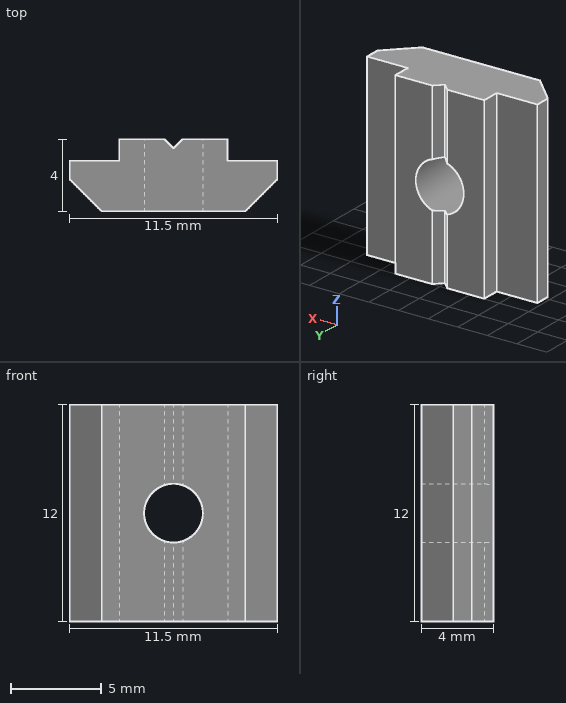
import cadquery as cq

width = 11.5
depth = 4.0
length = 12.0

chamfer = 1.78
rib_width = 6.0
rib_height = 1.2
notch_depth = 0.5
hole_diameter = 3.24

half_width = width / 2
half_rib = rib_width / 2
front = -depth / 2
back = depth / 2
shoulder = back - rib_height


def nut_profile():
    """Cross-section in XY, listed counter-clockwise from the front left."""
    return [
        (-half_width + chamfer, front),
        (half_width - chamfer, front),
        (half_width, front + chamfer),
        (half_width, shoulder),
        (half_rib, shoulder),
        (half_rib, back),
        (notch_depth, back),
        (0, back - notch_depth),
        (-notch_depth, back),
        (-half_rib, back),
        (-half_rib, shoulder),
        (-half_width, shoulder),
        (-half_width, front + chamfer),
    ]


body = cq.Workplane("XY", origin=(0, 0, -length / 2)).polyline(nut_profile()).close().extrude(length)

hole = cq.Workplane("XZ", origin=(0, back, 0)).circle(hole_diameter / 2).extrude(depth)

result = body.cut(hole)